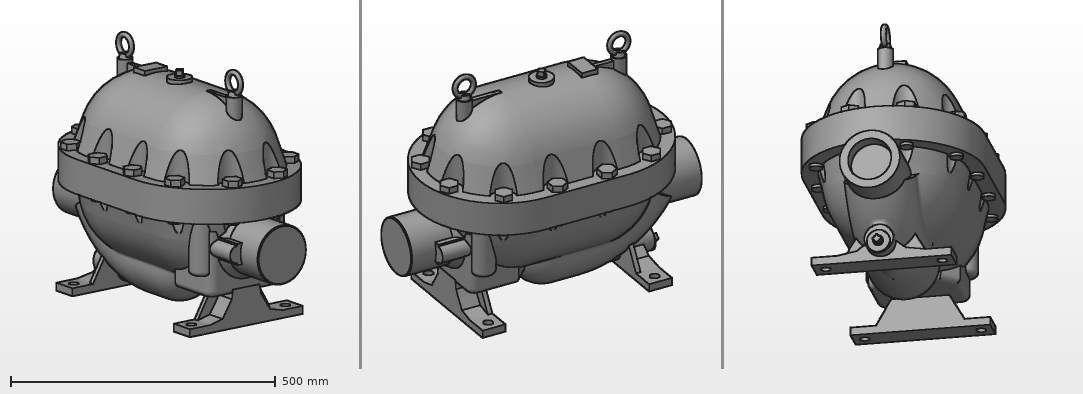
import cadquery as cq
import math

FLANGE_WIDTH = 350.0
CAP_OFFSET = 90.0
FLANGE_BOTTOM = 221.5
FLANGE_THICKNESS = 68.5
FLANGE_TOP = FLANGE_BOTTOM + FLANGE_THICKNESS

SHELL_RADIUS = 136.0
DOME_TOP = 435.5
DOME_TANGENT_Z = 345.0
BELLY_BOTTOM = 69.0
BELLY_TANGENT_Z = 175.0

BOLT_POSITIONS = [(54.0, 153.5), (161.0, 136.0), (233.0, 54.0)]
BOLT_TURNS = [90, 0, 0]
HEX_CORNERS = 38.0
HEX_HEIGHT = 13.0
STUD_DIAMETER = 25.0
STUD_LENGTH = 6.5
HEAD_RELIEF_RADIUS = 27.0
STUD_RELIEF_RADIUS = 18.0
HEAD_RELIEF_HEIGHT = 89.0
STUD_RELIEF_HEIGHT = 38.0

PIPE_DIAMETER = 116.0
PIPE_Z = 163.0
OVERALL_LENGTH = 635.0
PIPE_LEFT = -317.0
PIPE_RIGHT = PIPE_LEFT + OVERALL_LENGTH
PIPE_CHAMFER = 2.0
SOCKET_DIAMETER = 83.0
SOCKET_DEPTH = 30.5

SUMP_RADIUS = 68.5
SUMP_BOTTOM = 6.0
SUMP_AXIS_Z = SUMP_BOTTOM + SUMP_RADIUS
SUMP_BEND_X = -57.0
SUMP_END_X = -216.0
SEAM_FILLET = 7.5
SEAM_CEILING = 127.0
SEAM_TOLERANCE = 0.005

DRAIN_RADIUS = 28.0
DRAIN_Z = 35.5
DRAIN_FACE = -231.0
DRAIN_CAP_DIAMETER = 44.5
DRAIN_CAP_THICKNESS = 6.0
DRAIN_PLUG_Z = 28.0

PLUG_NECK_DIAMETER = 19.0
PLUG_NECK_LENGTH = 4.0
PLUG_SQUARE = 13.0
PLUG_HEAD_LENGTH = 10.0

PAD_TOP = 442.5
TOP_DISC_DIAMETER = 48.0
PLATE_LENGTH = 35.0
PLATE_WIDTH = 53.5
PLATE_X = -CAP_OFFSET
RIDGE_TOP = 436.0
RIDGE_WIDTH = 10.0

EYE_X = 169.0
POST_DIAMETER = 30.0
EYE_COLLAR_DIAMETER = 25.0
EYE_COLLAR_TOP_DIAMETER = 19.0
EYE_COLLAR_HEIGHT = 10.0
RING_DIAMETER = 40.0
RING_WIRE = 10.0
OVERALL_HEIGHT = 493.5
RING_Z = OVERALL_HEIGHT - (RING_DIAMETER + RING_WIRE) / 2

BLOCK_HALF_WIDTH = 89.0
BLOCK_RIGHT = 207.0
BLOCK_SHOULDER_X = 101.5
BLOCK_NOSE_X = 70.0
BLOCK_NOSE_HALF_WIDTH = 57.0
BLOCK_BOTTOM = 66.5
BLOCK_TOP = 197.0
BLOCK_CORNER = 19.0
BLOCK_EDGE = 11.5

SIDE_BOSS_DIAMETER = 50.0
SIDE_BOSS_X = 176.0
SIDE_BOSS_Y = 82.5
SIDE_BOSS_BOTTOM = 108.5
SIDE_BOSS_EDGE = 9.5

PORT_DIAMETER = 34.0
PORT_WEB_HEIGHT = 42.0
PORT_Y = 66.0
PORT_END = 264.0

COLLAR_END = 226.0
COLLAR_RADIUS = 70.0

FOOT_OUTER_X = BLOCK_RIGHT
FOOT_LENGTH = 50.0
FOOT_WIDTH = 270.0
FOOT_THICKNESS = 16.0
FOOT_HOLE_DIAMETER = 19.0
FOOT_HOLE_Y = 112.5
WEB_THICKNESS = 10.0
WEB_HALF_WIDTH = 86.0
WEB_TOP_HALF_WIDTH = 51.0
WEB_TOP = 76.0
DRAIN_GUSSET = [(WEB_HALF_WIDTH, FOOT_THICKNESS), (47.5, 22.0), (25.5, 39.5)]
BLOCK_GUSSET = [(WEB_HALF_WIDTH, FOOT_THICKNESS), (57.0, 23.0), (44.5, 42.0), (35.0, 58.0), (32.0, WEB_TOP)]


def cylinder_x(x_start, x_end, radius, y, z):
    """Cylinder along X between two stations."""
    return cq.Workplane("YZ", origin=(x_start, y, z)).circle(radius).extrude(x_end - x_start)


def cylinder_z(x, y, z_start, z_end, radius):
    """Cylinder along Z between two levels."""
    return cq.Workplane("XY", origin=(x, y, z_start)).circle(radius).extrude(z_end - z_start)


def on_surface(point, body):
    """True where a point lies on the surface of a body."""
    vertex = cq.Vertex.makeVertex(*point.toTuple())
    return min(face.distance(vertex) for face in body.faces().vals()) < SEAM_TOLERANCE


def blend(first, second):
    """Union of two bodies with a fillet along the low part of their seam."""
    body = first.union(second)
    seam = []
    for edge in body.edges().vals():
        middle = edge.positionAt(0.5)
        is_low = edge.BoundingBox().zmin < SEAM_CEILING
        if is_low and on_surface(middle, first) and on_surface(middle, second):
            seam.append(edge)
    return body.newObject(seam).fillet(SEAM_FILLET)


def shell(apex_z, tangent_z, rim_z):
    """Rounded end shell: domed profile stretched along X between two revolved ends."""
    side = 1 if apex_z > rim_z else -1
    centre_z = apex_z - side * SHELL_RADIUS
    tangent_rise = abs(tangent_z - centre_z)
    tangent_r = math.sqrt(SHELL_RADIUS**2 - tangent_rise**2)
    taper = tangent_rise / tangent_r
    rim_r = tangent_r + taper * abs(tangent_z - rim_z)
    mid_angle = (math.pi / 2 + math.asin(tangent_rise / SHELL_RADIUS)) / 2
    mid_r = SHELL_RADIUS * math.cos(mid_angle)
    mid_z = centre_z + side * SHELL_RADIUS * math.sin(mid_angle)

    half_profile = (
        cq.Workplane("XZ")
        .moveTo(0, rim_z)
        .lineTo(rim_r, rim_z)
        .lineTo(tangent_r, tangent_z)
        .threePointArc((mid_r, mid_z), (0, apex_z))
        .close()
    )
    cap = half_profile.revolve(360, (0, 0), (0, 1))
    middle = (
        cq.Workplane("YZ", origin=(-CAP_OFFSET, 0, 0))
        .moveTo(-rim_r, rim_z)
        .lineTo(rim_r, rim_z)
        .lineTo(tangent_r, tangent_z)
        .threePointArc((0, apex_z), (-tangent_r, tangent_z))
        .close()
        .extrude(2 * CAP_OFFSET)
    )
    return (
        middle
        .union(cap.translate((CAP_OFFSET, 0, 0)))
        .union(cap.translate((-CAP_OFFSET, 0, 0)))
    )


def bolts():
    """Position and hexagon direction of all twelve flange bolts."""
    return [
        (sx * x, sy * y, turn)
        for (x, y), turn in zip(BOLT_POSITIONS, BOLT_TURNS)
        for sx in (1, -1)
        for sy in (1, -1)
    ]


def plug():
    """Pipe plug along +Z: round neck and a square head with its corners along the axes."""
    neck = cylinder_z(0, 0, 0, PLUG_NECK_LENGTH, PLUG_NECK_DIAMETER / 2)
    head = (
        cq.Workplane("XY", origin=(0, 0, PLUG_NECK_LENGTH))
        .transformed(rotate=(0, 0, 45))
        .rect(PLUG_SQUARE, PLUG_SQUARE)
        .extrude(PLUG_HEAD_LENGTH)
    )
    return neck.union(head)


def dome():
    """Upper shell, relieved around the bolt heads."""
    body = shell(DOME_TOP, DOME_TANGENT_Z, FLANGE_TOP)
    for x, y, _ in bolts():
        body = body.cut(cylinder_z(x, y, FLANGE_TOP, FLANGE_TOP + HEAD_RELIEF_HEIGHT, HEAD_RELIEF_RADIUS))
    return body


def flange():
    """Stadium-shaped flange with the bolt heads and stud ends."""
    body = (
        cq.Workplane("XY", origin=(0, 0, FLANGE_BOTTOM))
        .slot2D(2 * CAP_OFFSET + FLANGE_WIDTH, FLANGE_WIDTH)
        .extrude(FLANGE_THICKNESS)
    )
    for x, y, turn in bolts():
        head = (
            cq.Workplane("XY", origin=(x, y, FLANGE_TOP))
            .transformed(rotate=(0, 0, turn))
            .polygon(6, HEX_CORNERS)
            .extrude(HEX_HEIGHT)
        )
        stud = cylinder_z(x, y, FLANGE_BOTTOM - STUD_LENGTH, FLANGE_BOTTOM, STUD_DIAMETER / 2)
        body = body.union(head).union(stud)
    return body


def pipes():
    """Inlet and outlet pipe stubs and the flared root of the outlet."""
    radius = PIPE_DIAMETER / 2
    inlet = cylinder_x(PIPE_LEFT, -CAP_OFFSET, radius, 0, PIPE_Z)
    outlet = cylinder_x(CAP_OFFSET, PIPE_RIGHT, radius, 0, PIPE_Z).faces(">X").chamfer(PIPE_CHAMFER)
    flare = (
        cq.Workplane("YZ", origin=(BLOCK_RIGHT, 0, PIPE_Z))
        .circle(COLLAR_RADIUS)
        .workplane(offset=COLLAR_END - BLOCK_RIGHT)
        .circle(radius)
        .loft()
    )
    return inlet.union(outlet).union(flare)


def sump():
    """Round-ended trough below the belly, bending up to the inlet pipe."""
    run = SUMP_BEND_X - SUMP_END_X
    rise = PIPE_Z - SUMP_AXIS_Z
    bend_radius = (run**2 + rise**2) / (2 * rise)
    half_turn = math.atan(rise / run)
    mid = (
        SUMP_BEND_X - bend_radius * math.sin(half_turn),
        SUMP_AXIS_Z + bend_radius * (1 - math.cos(half_turn)),
    )
    axis = (
        cq.Workplane("XZ")
        .moveTo(0, SUMP_AXIS_Z)
        .lineTo(SUMP_BEND_X, SUMP_AXIS_Z)
        .threePointArc(mid, (SUMP_END_X, PIPE_Z))
    )
    trough = cq.Workplane("YZ", origin=(0, 0, SUMP_AXIS_Z)).circle(SUMP_RADIUS).sweep(axis)
    end = cq.Workplane("XY", origin=(0, 0, SUMP_AXIS_Z)).sphere(SUMP_RADIUS)
    return trough.union(end)


def lower_body():
    """Belly and sump with the drain boss blended in, relieved around the stud ends."""
    belly = shell(BELLY_BOTTOM, BELLY_TANGENT_Z, FLANGE_BOTTOM)
    trough = sump()
    drain_boss = cylinder_x(DRAIN_FACE, 0, DRAIN_RADIUS, 0, DRAIN_Z)
    body = blend(blend(belly, trough), drain_boss)
    relief_end = FLANGE_BOTTOM - STUD_RELIEF_HEIGHT
    for x, y, _ in bolts():
        body = body.cut(cylinder_z(x, y, relief_end, FLANGE_BOTTOM, STUD_RELIEF_RADIUS))
    return body


def drain_fitting():
    """Cap and plug on the end of the drain boss."""
    cap_face = DRAIN_FACE - DRAIN_CAP_THICKNESS
    cap = cylinder_x(cap_face, DRAIN_FACE, DRAIN_CAP_DIAMETER / 2, 0, DRAIN_PLUG_Z)
    drain_plug = (
        plug()
        .rotate((0, 0, 0), (0, 1, 0), -90)
        .translate((cap_face, 0, DRAIN_PLUG_Z))
    )
    return cap.union(drain_plug)


def outlet_block():
    """Block below the outlet end with vertical side bosses and horizontal ports."""
    block = (
        cq.Workplane("XY", origin=(0, 0, BLOCK_BOTTOM))
        .polyline([
            (BLOCK_NOSE_X, -BLOCK_NOSE_HALF_WIDTH),
            (BLOCK_SHOULDER_X, -BLOCK_HALF_WIDTH),
            (BLOCK_RIGHT, -BLOCK_HALF_WIDTH),
            (BLOCK_RIGHT, BLOCK_HALF_WIDTH),
            (BLOCK_SHOULDER_X, BLOCK_HALF_WIDTH),
            (BLOCK_NOSE_X, BLOCK_NOSE_HALF_WIDTH),
        ])
        .close()
        .extrude(BLOCK_TOP - BLOCK_BOTTOM)
        .edges("|Z and >X").fillet(BLOCK_CORNER)
        .faces("<Z").edges().fillet(BLOCK_EDGE)
    )
    for side in (1, -1):
        boss_y = side * SIDE_BOSS_Y
        boss = cylinder_z(SIDE_BOSS_X, boss_y, SIDE_BOSS_BOTTOM, FLANGE_BOTTOM, SIDE_BOSS_DIAMETER / 2)
        boss = boss.faces("<Z").edges().fillet(SIDE_BOSS_EDGE)
        port = cylinder_x(SIDE_BOSS_X, PORT_END, PORT_DIAMETER / 2, side * PORT_Y, PIPE_Z)
        block = block.union(boss).union(port)
    port_web = (
        cq.Workplane("YZ", origin=(SIDE_BOSS_X, 0, PIPE_Z))
        .rect(2 * PORT_Y, PORT_WEB_HEIGHT)
        .extrude(PORT_END - SIDE_BOSS_X)
    )
    return block.union(port_web)


def foot(outer_side, gusset_outline):
    """Foot plate with bolt holes, upright web at its inner edge and a flared gusset across it."""
    outer = outer_side * FOOT_OUTER_X
    inner = outer_side * (FOOT_OUTER_X - FOOT_LENGTH)
    plate = (
        cq.Workplane("XY", origin=((outer + inner) / 2, 0, 0))
        .rect(FOOT_LENGTH, FOOT_WIDTH)
        .extrude(FOOT_THICKNESS)
        .faces(">Z").workplane(origin=((outer + inner) / 2, 0, FOOT_THICKNESS))
        .pushPoints([(0, FOOT_HOLE_Y), (0, -FOOT_HOLE_Y)])
        .hole(FOOT_HOLE_DIAMETER)
    )
    web = (
        cq.Workplane("YZ", origin=(inner, 0, 0))
        .polyline([
            (-WEB_HALF_WIDTH, FOOT_THICKNESS),
            (WEB_HALF_WIDTH, FOOT_THICKNESS),
            (WEB_TOP_HALF_WIDTH, WEB_TOP),
            (-WEB_TOP_HALF_WIDTH, WEB_TOP),
        ])
        .close()
        .extrude(outer_side * WEB_THICKNESS)
    )
    mirrored = [(-y, z) for y, z in reversed(gusset_outline)]
    gusset = (
        cq.Workplane("YZ", origin=(inner, 0, 0))
        .polyline(gusset_outline + mirrored)
        .close()
        .extrude(outer_side * FOOT_LENGTH)
    )
    return plate.union(web).union(gusset)


def lifting_eye(x):
    """Post on the dome with a collar and a ring standing in the XZ plane."""
    post = cylinder_z(x, 0, DOME_TANGENT_Z, PAD_TOP, POST_DIAMETER / 2)
    collar = (
        cq.Workplane("XY", origin=(x, 0, PAD_TOP))
        .circle(EYE_COLLAR_DIAMETER / 2)
        .workplane(offset=EYE_COLLAR_HEIGHT)
        .circle(EYE_COLLAR_TOP_DIAMETER / 2)
        .loft()
    )
    ring = cq.Workplane("XY").add(
        cq.Solid.makeTorus(RING_DIAMETER / 2, RING_WIRE / 2, cq.Vector(x, 0, RING_Z), cq.Vector(0, 1, 0))
    )
    return post.union(collar).union(ring)


def top_fittings():
    """Centre disc with plug, name plate and the ridges leading to the lifting eyes."""
    disc = cylinder_z(0, 0, DOME_TANGENT_Z, PAD_TOP, TOP_DISC_DIAMETER / 2)
    top_plug = plug().translate((0, 0, PAD_TOP))
    plate = (
        cq.Workplane("XY", origin=(PLATE_X, 0, DOME_TANGENT_Z))
        .rect(PLATE_LENGTH, PLATE_WIDTH)
        .extrude(PAD_TOP - DOME_TANGENT_Z)
    )
    parts = disc.union(top_plug).union(plate)
    for side in (1, -1):
        ridge_length = EYE_X - CAP_OFFSET
        ridge = (
            cq.Workplane("XY", origin=(side * (EYE_X + CAP_OFFSET) / 2, 0, DOME_TANGENT_Z))
            .rect(ridge_length, RIDGE_WIDTH)
            .extrude(RIDGE_TOP - DOME_TANGENT_Z)
        )
        parts = parts.union(ridge).union(lifting_eye(side * EYE_X))
    return parts


def inlet_socket():
    """Blind socket in the open end of the inlet pipe."""
    return cylinder_x(PIPE_LEFT, PIPE_LEFT + SOCKET_DEPTH, SOCKET_DIAMETER / 2, 0, PIPE_Z)


result = (
    flange()
    .union(dome())
    .union(lower_body())
    .union(pipes())
    .union(drain_fitting())
    .union(outlet_block())
    .union(foot(-1, DRAIN_GUSSET))
    .union(foot(1, BLOCK_GUSSET))
    .union(top_fittings())
    .cut(inlet_socket())
)